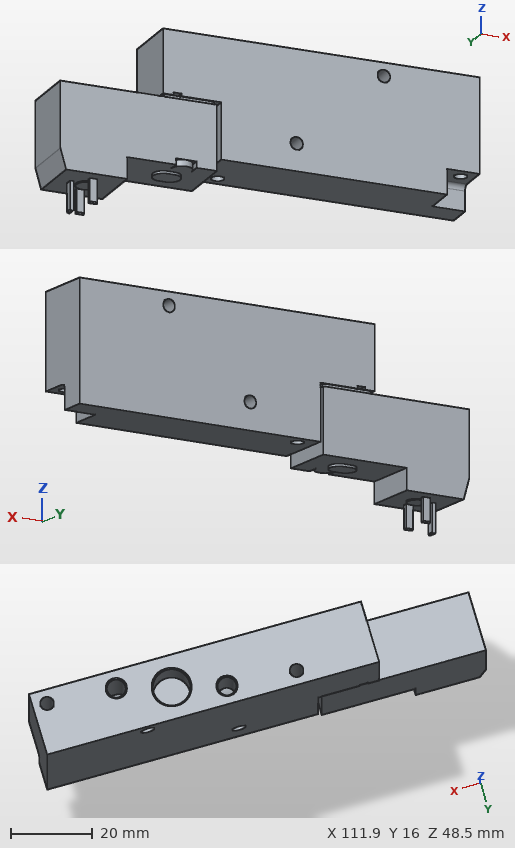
import cadquery as cq


LENGTH = 111.9
BODY_WIDTH = 16.0
BODY_HEIGHT = 32.0
BODY_LEFT = 27.3
STEP_X = 42.9
STEP_Z = 15.0
VENT_X = 30.1
VENT_LENGTH = 2.1
VENT_HEIGHT = 0.7

PORT_CENTRE_X = 77.9
PORT_PITCH = 13.1
PORT_OFFSET_Y = 3.5
SMALL_PORT_DIAMETER = 4.6
LARGE_PORT_DIAMETER = 9.2
PORT_CHAMFER = 0.3
LARGE_PORT_DEPTH = 7.8
SPOOL_RADIUS = 6.0

HOLE_DIAMETER = 3.4
MOUNT_HOLES = [(47.3, 4.5), (108.3, -4.5)]
SIDE_HOLES = [(63.0, 7.3), (86.3, 28.4)]

NOTCH_LENGTH = 8.7
NOTCH_HEIGHT = 6.7
NOTCH_DEPTH = 9.0
NOTCH_FILLET = 1.3

CONNECTOR_WIDTH = 15.3
CONNECTOR_RIGHT = 41.9
CONNECTOR_TOP = 14.3
CONNECTOR_UNDERSIDE = -3.0
PLUG_BOTTOM = -8.7
PLUG_RIGHT = 17.9
SLOPE_TOP = -3.2
SLOPE_INSET = 1.6
GASKET_INSET = 0.1
GASKET_RADIUS = 1.6

OVERRIDE_X = 33.7
OVERRIDE_Y = -4.8
OVERRIDE_DIAMETER = 5.5
OVERRIDE_HEIGHT = 1.7
LEVER_LEFT = 28.1
LEVER_RIGHT = 35.4
LEVER_THICKNESS = 0.7

BLADE_WIDTH = 2.0
BLADE_THICKNESS = 1.0
BLADE_CHAMFER = 0.3
CENTRE_BLADE_X = 6.0
CENTRE_BLADE_LENGTH = 7.8
SIDE_BLADE_X = 10.3
SIDE_BLADE_Y = 4.0
SIDE_BLADE_LENGTH = 6.4
PLUG_BOSS_DIAMETER = 5.4
PLUG_BOSS_HEIGHT = 0.3


def box(x0, x1, y0, y1, z0, z1):
    """Box between two opposite corners."""
    corner = cq.Workplane("XY", origin=(x0, y0, z0))
    return corner.box(x1 - x0, y1 - y0, z1 - z0, centered=False)


def cylinder(x, y, z, diameter, height):
    """Vertical cylinder standing on the point (x, y, z)."""
    return cq.Workplane("XY", origin=(x, y, z)).circle(diameter / 2).extrude(height)


def extrude_across(points, width):
    """XZ outline extruded symmetrically about the mid-plane."""
    return cq.Workplane("XZ").polyline(points).close().extrude(width / 2, both=True)


def port(x, y, diameter, depth):
    """Cutter for a port in the top face with a chamfered mouth."""
    bore = cylinder(x, y, BODY_HEIGHT - depth, diameter, depth)
    radius = diameter / 2
    start = cq.Vector(x, y, BODY_HEIGHT - PORT_CHAMFER)
    mouth = cq.Solid.makeCone(radius, radius + PORT_CHAMFER, PORT_CHAMFER, pnt=start)
    return bore.union(cq.Workplane(mouth))


def make_body():
    """Stepped valve body with its vent, corner notch and through holes."""
    half_width = BODY_WIDTH / 2
    body = extrude_across(
        [
            (BODY_LEFT, BODY_HEIGHT),
            (LENGTH, BODY_HEIGHT),
            (LENGTH, 0),
            (STEP_X, 0),
            (STEP_X, STEP_Z),
            (BODY_LEFT, STEP_Z),
        ],
        BODY_WIDTH,
    )
    vent = box(VENT_X, VENT_X + VENT_LENGTH, -half_width, half_width, STEP_Z, STEP_Z + VENT_HEIGHT)
    notch = box(LENGTH - NOTCH_LENGTH, LENGTH, -half_width, NOTCH_DEPTH - half_width, 0, NOTCH_HEIGHT)
    notch = notch.edges("|X and >Y and >Z").fillet(NOTCH_FILLET)
    body = body.cut(vent).cut(notch)

    mounts = cq.Workplane("XY").pushPoints(MOUNT_HOLES).circle(HOLE_DIAMETER / 2).extrude(BODY_HEIGHT)
    sides = cq.Workplane("XZ").pushPoints(SIDE_HOLES).circle(HOLE_DIAMETER / 2)
    return body.cut(mounts).cut(sides.extrude(half_width, both=True))


def cut_ports(body):
    """The small ports reach down to the round spool; the large one has a flat floor."""
    spool = (
        cq.Workplane("YZ", origin=(BODY_LEFT, 0, BODY_HEIGHT / 2))
        .circle(SPOOL_RADIUS)
        .extrude(LENGTH - BODY_LEFT)
    )
    for side in (-1, 1):
        x = PORT_CENTRE_X + side * PORT_PITCH
        cutter = port(x, -side * PORT_OFFSET_Y, SMALL_PORT_DIAMETER, BODY_HEIGHT / 2)
        body = body.cut(cutter.cut(spool))
    return body.cut(port(PORT_CENTRE_X, 0, LARGE_PORT_DIAMETER, LARGE_PORT_DEPTH))


def make_connector():
    """Connector housing with the rounded gasket on its top face."""
    connector = extrude_across(
        [
            (0, CONNECTOR_TOP),
            (CONNECTOR_RIGHT, CONNECTOR_TOP),
            (CONNECTOR_RIGHT, CONNECTOR_UNDERSIDE),
            (PLUG_RIGHT, CONNECTOR_UNDERSIDE),
            (PLUG_RIGHT, PLUG_BOTTOM),
            (SLOPE_INSET, PLUG_BOTTOM),
            (0, SLOPE_TOP),
        ],
        CONNECTOR_WIDTH,
    )
    half_width = CONNECTOR_WIDTH / 2 - GASKET_INSET
    left = BODY_LEFT + GASKET_INSET
    right = CONNECTOR_RIGHT - GASKET_INSET
    gasket = box(left, right, -half_width, half_width, CONNECTOR_TOP, STEP_Z)
    return connector.union(gasket.edges("|Z").fillet(GASKET_RADIUS))


def add_override(connector):
    """Round override button in an open pocket, and a flat lever under the connector."""
    radius = OVERRIDE_DIAMETER / 2
    top = CONNECTOR_UNDERSIDE + OVERRIDE_HEIGHT
    left = OVERRIDE_X - radius
    right = OVERRIDE_X + radius
    pocket = box(left, right, -CONNECTOR_WIDTH / 2, OVERRIDE_Y, CONNECTOR_UNDERSIDE, top)
    button = cylinder(OVERRIDE_X, OVERRIDE_Y, CONNECTOR_UNDERSIDE, OVERRIDE_DIAMETER, OVERRIDE_HEIGHT)
    lever = (
        cq.Workplane("XY", origin=((LEVER_LEFT + LEVER_RIGHT) / 2, 0, CONNECTOR_UNDERSIDE))
        .slot2D(LEVER_RIGHT - LEVER_LEFT, OVERRIDE_DIAMETER)
        .extrude(-LEVER_THICKNESS)
    )
    return connector.cut(pocket).union(button).union(lever)


def blade(x, y, x_size, y_size, length, long_edges):
    """Contact blade hanging from the plug, bevelled along its wide sides."""
    pin = cq.Workplane("XY", origin=(x, y, PLUG_BOTTOM)).rect(x_size, y_size).extrude(-length)
    return pin.faces("<Z").edges(long_edges).chamfer(BLADE_CHAMFER)


def add_contacts(connector):
    """One blade across the plug and two along it, beside a low round boss."""
    boss = cylinder(SIDE_BLADE_X, 0, PLUG_BOTTOM, PLUG_BOSS_DIAMETER, -PLUG_BOSS_HEIGHT)
    connector = connector.union(boss)
    connector = connector.union(
        blade(CENTRE_BLADE_X, 0, BLADE_THICKNESS, BLADE_WIDTH, CENTRE_BLADE_LENGTH, "|Y")
    )
    for y in (-SIDE_BLADE_Y, SIDE_BLADE_Y):
        connector = connector.union(
            blade(SIDE_BLADE_X, y, BLADE_WIDTH, BLADE_THICKNESS, SIDE_BLADE_LENGTH, "|X")
        )
    return connector


valve_body = cut_ports(make_body())
connector = add_contacts(add_override(make_connector()))
result = valve_body.union(connector)